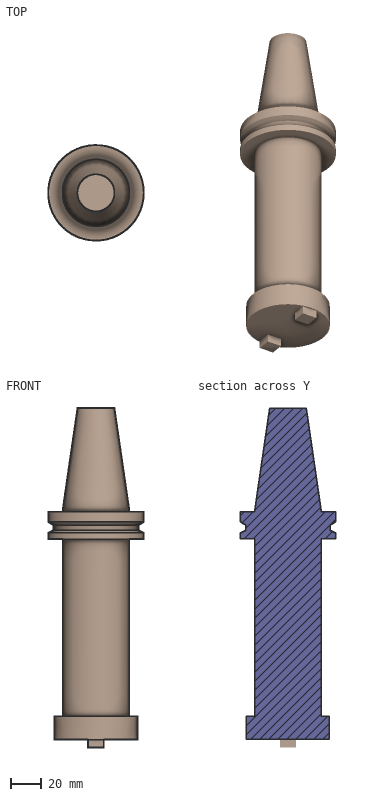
import cadquery as cq

total_height = 225.5
shank_diameter = 44.5
taper_tip_diameter = 24.5
collar_diameter = 55.5
flange_diameter = 63.5
groove_diameter = 56.6

key_height = 5.5
collar_height = 15.5
collar_top = key_height + collar_height
flange_bottom = 138.5
groove_bottom = 142.5
groove_floor_bottom = 144.4
groove_floor_top = 147.7
groove_top = 150.0
flange_top = 156.8
taper_base = flange_top + 0.7

key_width = 10.5
key_outer_reach = 26.5
key_length = 10.0


def make_body():
    """Revolve the holder: collar, shank, grooved flange and taper."""
    shank_radius = shank_diameter / 2
    collar_radius = collar_diameter / 2
    flange_radius = flange_diameter / 2
    groove_radius = groove_diameter / 2
    outline = [
        (0, key_height),
        (collar_radius, key_height),
        (collar_radius, collar_top),
        (shank_radius, collar_top),
        (shank_radius, flange_bottom),
        (flange_radius, flange_bottom),
        (flange_radius, groove_bottom),
        (groove_radius, groove_floor_bottom),
        (groove_radius, groove_floor_top),
        (flange_radius, groove_top),
        (flange_radius, flange_top),
        (shank_radius, flange_top),
        (shank_radius, taper_base),
        (taper_tip_diameter / 2, total_height),
        (0, total_height),
    ]
    return cq.Workplane("XZ").polyline(outline).close().revolve(360, (0, 0), (0, 1))


def make_keys():
    """Two rectangular drive keys standing down from the collar face."""
    key_center = key_outer_reach - key_length / 2
    return (
        cq.Workplane("XY")
        .pushPoints([(0, -key_center), (0, key_center)])
        .rect(key_width, key_length)
        .extrude(key_height)
    )


result = make_body().union(make_keys())